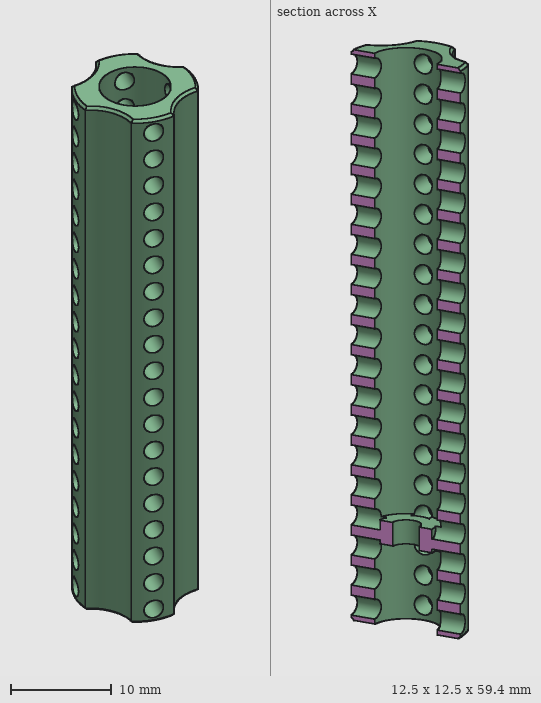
import cadquery as cq
import math

length = 59.4
outer_diameter = 12.5
lobe_width = 4.45
valley_radius = 4.9
end_chamfer = 0.3

lobe_count = 4
holes_per_row = 19
radial_hole_diameter = 2.0
hole_pitch = length / holes_per_row
first_hole_height = hole_pitch / 2

bore_diameter = 7.1
web_hole_diameter = 3.0
holes_below_web_top = 3
web_top = first_hole_height + holes_below_web_top * hole_pitch
web_thickness = 2.5
web_core_diameter = 6.0
web_bottom = web_top - web_thickness

outer_radius = outer_diameter / 2
lobe_angle = 360 / lobe_count
lobe_half_angle = math.degrees(math.asin(lobe_width / outer_diameter))


def polar_point(radius, angle):
    """Point in the XY plane at a radius and an angle in degrees."""
    turn = math.radians(angle)
    return (radius * math.cos(turn), radius * math.sin(turn))


def fluted_bar():
    """Four-lobed bar with chamfered ends."""
    outline = cq.Workplane("XY").moveTo(*polar_point(outer_radius, -lobe_half_angle))
    for lobe in range(lobe_count):
        middle = lobe * lobe_angle
        lobe_middle = polar_point(outer_radius, middle)
        lobe_end = polar_point(outer_radius, middle + lobe_half_angle)
        flute_bottom = polar_point(valley_radius, middle + lobe_angle / 2)
        next_lobe_start = polar_point(outer_radius, middle + lobe_angle - lobe_half_angle)
        outline = outline.threePointArc(lobe_middle, lobe_end)
        outline = outline.threePointArc(flute_bottom, next_lobe_start)
    bar = outline.close().extrude(length)
    return bar.faces("<Z or >Z").edges().chamfer(end_chamfer)


def axial_cylinder(diameter, bottom, top):
    """Cylinder on the Z axis between two heights."""
    return cq.Workplane("XY").workplane(offset=bottom).circle(diameter / 2).extrude(top - bottom)


def radial_hole_row():
    """Row of hole cutters reaching from the axis out through the +X lobe."""
    heights = [(0, first_hole_height + index * hole_pitch) for index in range(holes_per_row)]
    return cq.Workplane("YZ").pushPoints(heights).circle(radial_hole_diameter / 2).extrude(outer_diameter)


web_core = axial_cylinder(web_core_diameter, web_bottom, web_top)
hole_row = radial_hole_row().cut(web_core)
result = fluted_bar()
for lobe in range(lobe_count):
    result = result.cut(hole_row.rotate((0, 0, 0), (0, 0, 1), lobe * lobe_angle))

result = result.cut(axial_cylinder(bore_diameter, web_top, length))
result = result.cut(axial_cylinder(bore_diameter, 0, web_bottom))
result = result.cut(axial_cylinder(web_hole_diameter, web_bottom, web_top))